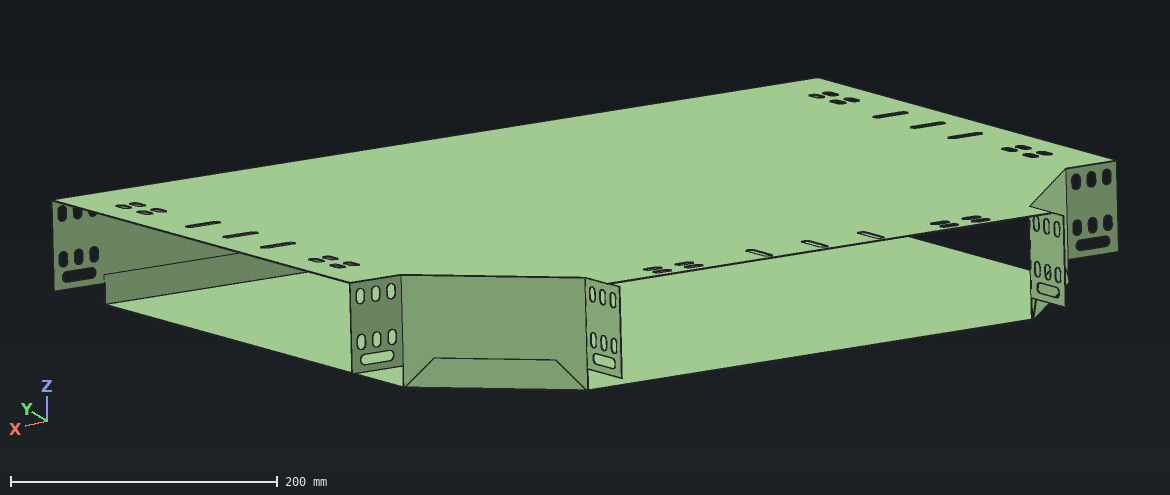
import cadquery as cq
import math

sheet = 0.8

half_width = 201.0
end_reach = 346.0
shoulder = 300.0
diagonal_angle = 45
branch_floor_reach = 330.0

wall_depth = 86.0
tab_depth = 70.0
lip_top = 63.5

slot_width = 7.0
long_slot_length = 30.0
long_slot_pitch = 50.5
long_slot_inset = 36.0
short_slot_length = 15.0
short_slot_insets = (27.0, 39.5)
short_slot_offsets = (115.0, 144.0)

tab_hole_width = 7.0
tab_hole_height = 12.0
tab_hole_pitch = 14.0
tab_hole_depths = (12.0, 47.0)
tab_slot_length = 30.0
tab_slot_height = 8.0
tab_slot_depth = 60.5

turn_x = -28.8
turn_y = 19.25
turn_z = 61.2
position = (18.0, 17.0, 38.0)

tab_middle = (end_reach + shoulder) / 2
end_angles = (0, 90, 180)


def shoulder_at(growth):
    """Shoulder position once every wall face has moved outwards by `growth`."""
    return shoulder + growth * math.tan(math.radians(diagonal_angle / 2))


def tee_outline(growth, run_reach, branch_reach):
    """Plan of the tee with its side walls moved outwards by `growth`."""
    w = half_width + growth
    s = shoulder_at(growth)
    right_side = [(run_reach, -w), (run_reach, w), (s, w), (w, s), (w, branch_reach)]
    left_side = [(-x, y) for x, y in reversed(right_side)]
    return cq.Workplane("XY").polyline(right_side + left_side).close()


def tray_sheet():
    floor = tee_outline(0, end_reach, branch_floor_reach).extrude(-sheet)
    inside = tee_outline(-sheet, 2 * end_reach, 2 * end_reach).extrude(-wall_depth)
    walls = tee_outline(0, end_reach, end_reach).extrude(-wall_depth).cut(inside)
    below_tabs = (
        cq.Workplane("XY")
        .box(end_reach, 3 * half_width, wall_depth, centered=(False, True, False))
        .translate((shoulder, 0, -tab_depth - wall_depth))
    )
    for angle in end_angles:
        walls = walls.cut(below_tabs.rotate((0, 0, 0), (0, 0, 1), angle))
    return floor.union(walls)


def floor_slots():
    """Cutters for the floor slots of the end that points along +X."""
    long_points = [(end_reach - long_slot_inset, i * long_slot_pitch) for i in (-1, 0, 1)]
    short_points = [
        (end_reach - inset, side * offset)
        for inset in short_slot_insets
        for offset in short_slot_offsets
        for side in (-1, 1)
    ]
    top = cq.Workplane("XY").workplane(offset=sheet)
    long_slots = top.pushPoints(long_points).slot2D(long_slot_length, slot_width).extrude(-3 * sheet)
    short_slots = top.pushPoints(short_points).slot2D(short_slot_length, slot_width, 90).extrude(-3 * sheet)
    return long_slots.add(short_slots)


def tab_holes():
    """Cutters for both tabs of the end that points along +X."""
    hole_points = [
        (tab_middle + i * tab_hole_pitch, -depth)
        for i in (-1, 0, 1)
        for depth in tab_hole_depths
    ]
    plane = cq.Workplane("XZ")
    reach = half_width + sheet
    holes = plane.pushPoints(hole_points).slot2D(tab_hole_height, tab_hole_width, 90).extrude(reach, both=True)
    slot = (
        plane.center(tab_middle, -tab_slot_depth)
        .slot2D(tab_slot_length, tab_slot_height)
        .extrude(reach, both=True)
    )
    return holes.add(slot)


def make_tray():
    tray = tray_sheet()
    for cutters in (floor_slots(), tab_holes()):
        for angle in end_angles:
            for cutter in cutters.vals():
                tray = tray.cut(cq.Workplane(cutter.rotate((0, 0, 0), (0, 0, 1), angle)))
    return tray


def cover_lip(length, mitre):
    """Lip along X whose inner face lies on the XZ plane and whose ends slope in by `mitre`."""
    half = length / 2
    bottom = -wall_depth - sheet
    return (
        cq.Workplane("XZ")
        .polyline([(-half, bottom), (half, bottom), (half - mitre, -lip_top), (mitre - half, -lip_top)])
        .close()
        .extrude(-sheet)
    )


def make_cover():
    """Flat cover under the walls, with lips outside the back wall and the diagonal walls."""
    w = half_width + sheet
    s = shoulder_at(sheet)
    cover = (
        cq.Workplane("XY")
        .workplane(offset=-wall_depth)
        .polyline([(-s, -w), (s, -w), (s, w), (w, s), (-w, s), (-s, w)])
        .close()
        .extrude(-sheet)
    )
    back_lip = cover_lip(2 * s, 0).rotate((0, 0, 0), (0, 0, 1), 180).translate((0, -half_width, 0))
    cover = cover.union(back_lip)

    diagonal_length = math.sqrt(2) * (s - w)
    diagonal_middle = (shoulder + half_width) / 2
    mitre = wall_depth + sheet - lip_top
    for side in (-1, 1):
        lip = cover_lip(diagonal_length, mitre).rotate((0, 0, 0), (0, 0, 1), -side * diagonal_angle)
        cover = cover.union(lip.translate((side * diagonal_middle, diagonal_middle, 0)))
    return cover


def pose(body):
    for axis, angle in (((1, 0, 0), turn_x), ((0, 1, 0), turn_y), ((0, 0, 1), turn_z)):
        body = body.rotate((0, 0, 0), axis, angle)
    return body.translate(position)


tray = pose(make_tray())
cover = pose(make_cover())

result = cq.Compound.makeCompound([tray.val(), cover.val()])